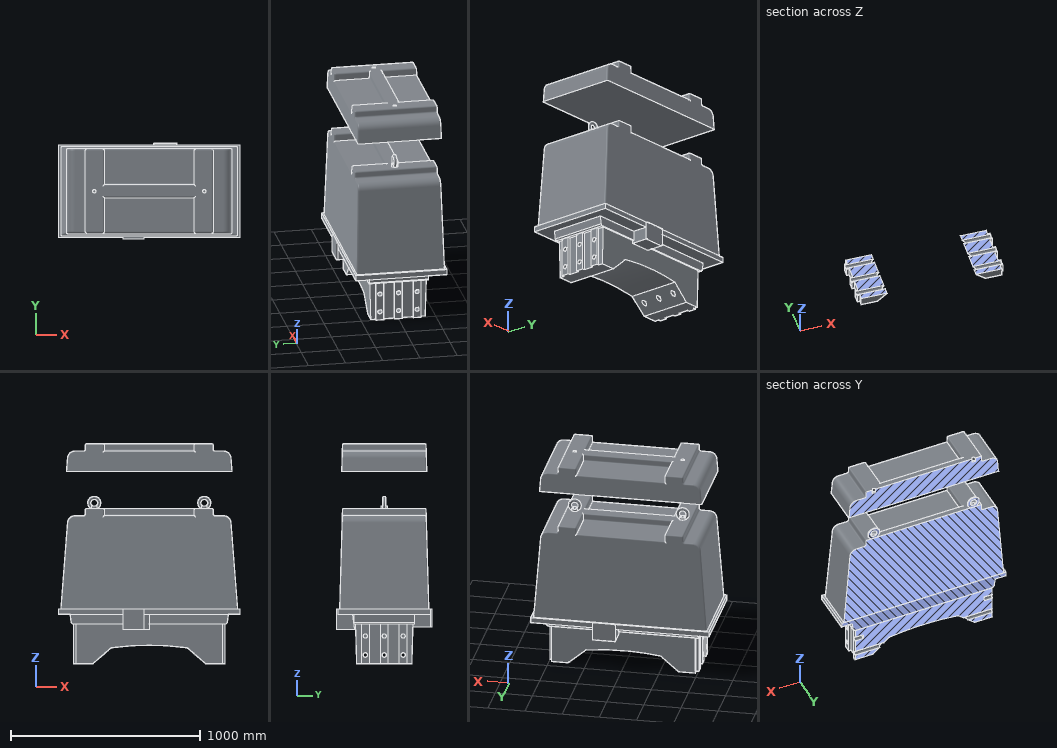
import cadquery as cq
import math

TOTAL_HEIGHT = 1162.0
PLINTH_BOTTOM = 209.0
FLANGE_BOTTOM = 260.0
FLANGE_TOP = 289.0
HOUSING_TOP = 820.0
LID_BOTTOM = 1015.0

SHOULDER_DROP = 38.0
FOOT_HALF_WIDTH = 467.0
FOOT_HALF_DEPTH = 236.0
END_DRAFT = 4.4
SIDE_DRAFT = 1.6
SHOULDER_RADIUS = 41.0
EDGE_RADIUS = 8.0
RAISED_HALF_WIDTH = 338.0
POCKET_HALF_WIDTH = 237.0
CENTER_RIB_HALF_DEPTH = 35.0

EYE_X = 290.0
EYE_HOLE = 35.0
EYE_WIRE = 17.0
EYE_COLLAR = 35.0
EYE_COLLAR_HEIGHT = 13.0
EYE_SINK = 1.0
LID_HOLE = 17.0
LID_HOLE_DEPTH = 23.0

TRAY_WIDTH = 960.0
TRAY_DEPTH = 490.0
FRONT_BRACKET_PROJECTION = 8.0
FRONT_BRACKET = (-140.0, -27.0, 180.0)
REAR_BRACKET = (23.0, 146.0, 193.0)
FAIRING_RIGHT = 1.0
FAIRING_OVERHANG = 8.0
PLATE_THICKNESS = 8.0
PLATE_EDGE_RADIUS = 0.99
PLINTH_HALF_DEPTH = 159.0
PLINTH_TOP_HALF_WIDTH = 418.0
PLINTH_DRAFT = 7.6
PLINTH_CHAMFER = 8.0

BASE_HALF_WIDTH = 387.0
BASE_TOP_HALF_DEPTH = 152.0
BASE_FOOT_HALF_DEPTH = 146.0
PAD_HEIGHT = 14.0
PAD_WIDTH = 42.0
PAD_SPACING = 100.0
PAD_HOLE = 22.0
PAD_HOLE_Z = 46.0
UPPER_HOLE_DEPTH = 46.0
ARCH_FOOT_HALF_WIDTH = 297.0
ARCH_HALF_WIDTH = 201.0
ARCH_SIDE_HEIGHT = 84.0
ARCH_CROWN_HEIGHT = 98.0

TOLERANCE = 0.1


def box(x0, x1, y0, y1, z0, z1):
    """Box given by its limits along each axis."""
    return cq.Workplane("XY").box(x1 - x0, y1 - y0, z1 - z0, centered=False).translate((x0, y0, z0))


def front_outline(points, half_depth):
    """Closed outline in the XZ plane, extruded both ways along Y."""
    return cq.Workplane("XZ").polyline(points).close().extrude(half_depth, both=True)


def end_outline(points, half_width):
    """Closed outline in the YZ plane, extruded both ways along X."""
    return cq.Workplane("YZ").polyline(points).close().extrude(half_width, both=True)


def tapered_shell(bottom):
    """Housing shape above the height `bottom`, with drafted walls, shoulders and two top pockets."""
    shoulder = HOUSING_TOP - SHOULDER_DROP
    end_slope = math.tan(math.radians(END_DRAFT))
    side_slope = math.tan(math.radians(SIDE_DRAFT))
    low_x = FOOT_HALF_WIDTH - (bottom - FLANGE_TOP) * end_slope
    high_x = FOOT_HALF_WIDTH - (shoulder - FLANGE_TOP) * end_slope
    low_y = FOOT_HALF_DEPTH - (bottom - FLANGE_TOP) * side_slope
    high_y = FOOT_HALF_DEPTH - (HOUSING_TOP - FLANGE_TOP) * side_slope

    half = [
        (low_x, bottom),
        (high_x, shoulder),
        (RAISED_HALF_WIDTH, shoulder),
        (RAISED_HALF_WIDTH, HOUSING_TOP),
    ]
    mirrored = [(-x, z) for x, z in reversed(half)]
    shell = front_outline(half + mirrored, low_y)
    for corner_x, radius in ((high_x, SHOULDER_RADIUS), (RAISED_HALF_WIDTH, EDGE_RADIUS)):
        for x in (-corner_x, corner_x):
            shell = shell.edges(cq.NearestToPointSelector((x, 0, shoulder))).fillet(radius)

    side_walls = [(-low_y, bottom), (low_y, bottom), (high_y, HOUSING_TOP), (-high_y, HOUSING_TOP)]
    shell = shell.intersect(end_outline(side_walls, low_x))

    for y0, y1 in ((-low_y, -CENTER_RIB_HALF_DEPTH), (CENTER_RIB_HALF_DEPTH, low_y)):
        pocket = box(-POCKET_HALF_WIDTH, POCKET_HALF_WIDTH, y0, y1, shoulder, HOUSING_TOP)
        shell = shell.cut(pocket)

    def is_rounded(edge):
        """True for an edge that gets the small radius."""
        center = edge.Center()
        on_top = center.z > HOUSING_TOP - TOLERANCE
        on_side_wall = abs(center.y) > high_y - TOLERANCE
        on_rib_foot = abs(center.x) < TOLERANCE and abs(abs(center.y) - CENTER_RIB_HALF_DEPTH) < TOLERANCE
        at_bottom = center.z < bottom + TOLERANCE
        return (on_top or on_side_wall or on_rib_foot) and not at_bottom

    rounded = [edge for edge in shell.edges().vals() if is_rounded(edge)]
    return shell.newObject(rounded).fillet(EDGE_RADIUS)


def make_lid():
    """Top slice of the shell, raised clear of the housing, with a blind hole above each lifting eye."""
    lift = TOTAL_HEIGHT - HOUSING_TOP
    lid = tapered_shell(LID_BOTTOM - lift).translate((0, 0, lift))
    for x in (-EYE_X, EYE_X):
        hole = cq.Workplane("XY", origin=(x, 0, TOTAL_HEIGHT)).circle(LID_HOLE / 2).extrude(-LID_HOLE_DEPTH)
        lid = lid.cut(hole)
    return lid


def make_lifting_eye(x):
    """Ring on a short collar, standing on the housing top."""
    collar = cq.Workplane("XY", origin=(x, 0, HOUSING_TOP)).circle(EYE_COLLAR / 2).extrude(EYE_COLLAR_HEIGHT)
    ring_radius = (EYE_HOLE + EYE_WIRE) / 2
    ring_z = HOUSING_TOP + EYE_COLLAR_HEIGHT + EYE_HOLE / 2 - EYE_SINK
    ring = cq.Workplane(cq.Solid.makeTorus(
        ring_radius, EYE_WIRE / 2, cq.Vector(x, 0, ring_z), cq.Vector(0, 1, 0)))
    reach = EYE_HOLE + EYE_WIRE
    above_housing = box(x - reach, x + reach, -reach, reach, HOUSING_TOP, ring_z + reach)
    return collar.union(ring.intersect(above_housing))


def make_plinth():
    """Block under the flange, with drafted ends and a chamfer along each lower end edge."""
    chamfer_top = PLINTH_BOTTOM + PLINTH_CHAMFER
    slope = math.tan(math.radians(PLINTH_DRAFT))
    low_half_width = PLINTH_TOP_HALF_WIDTH - (FLANGE_BOTTOM - chamfer_top) * slope
    half = [
        (PLINTH_TOP_HALF_WIDTH, FLANGE_BOTTOM),
        (low_half_width, chamfer_top),
        (low_half_width - PLINTH_CHAMFER, PLINTH_BOTTOM),
    ]
    return front_outline(half + [(-x, z) for x, z in reversed(half)], PLINTH_HALF_DEPTH)


def make_base():
    """Arched base with drafted sides and three drilled pads on each end."""
    base = end_outline([
        (-BASE_FOOT_HALF_DEPTH, 0),
        (BASE_FOOT_HALF_DEPTH, 0),
        (BASE_TOP_HALF_DEPTH, PLINTH_BOTTOM),
        (-BASE_TOP_HALF_DEPTH, PLINTH_BOTTOM),
    ], BASE_HALF_WIDTH)

    pad_face = BASE_HALF_WIDTH + PAD_HEIGHT
    for y in (-PAD_SPACING, 0, PAD_SPACING):
        pads = box(-pad_face, pad_face, y - PAD_WIDTH / 2, y + PAD_WIDTH / 2, 0, PLINTH_BOTTOM)
        base = base.union(pads)

    arch = (
        cq.Workplane("XZ")
        .moveTo(-ARCH_FOOT_HALF_WIDTH, 0)
        .lineTo(-ARCH_HALF_WIDTH, ARCH_SIDE_HEIGHT)
        .threePointArc((0, ARCH_CROWN_HEIGHT), (ARCH_HALF_WIDTH, ARCH_SIDE_HEIGHT))
        .lineTo(ARCH_FOOT_HALF_WIDTH, 0)
        .close()
        .extrude(BASE_TOP_HALF_DEPTH, both=True)
    )
    base = base.cut(arch)

    for y in (-PAD_SPACING, 0, PAD_SPACING):
        lower = cq.Workplane("YZ").center(y, PAD_HOLE_Z).circle(PAD_HOLE / 2).extrude(pad_face, both=True)
        base = base.cut(lower)
        for end in (-1, 1):
            upper = (
                cq.Workplane("YZ", origin=(end * pad_face, y, PAD_HOLE_Z + PAD_SPACING))
                .circle(PAD_HOLE / 2)
                .extrude(-end * UPPER_HOLE_DEPTH)
            )
            base = base.cut(upper)
    return base


def make_tray(base):
    """Flange under the housing, with a plinth below it and two brackets that reach in to the base."""
    half_depth = TRAY_DEPTH / 2
    slope = math.tan(math.radians(PLINTH_DRAFT))
    tray = box(-TRAY_WIDTH / 2, TRAY_WIDTH / 2, -half_depth, half_depth, FLANGE_BOTTOM, FLANGE_TOP)
    tray = tray.union(make_plinth())

    left, right, bottom = FRONT_BRACKET
    front = -half_depth - FRONT_BRACKET_PROJECTION
    tray = tray.union(box(left, right, front, -BASE_FOOT_HALF_DEPTH, bottom, FLANGE_TOP))

    fairing_top = -PLINTH_HALF_DEPTH - FAIRING_OVERHANG
    fairing_profile = [
        (-BASE_FOOT_HALF_DEPTH, bottom),
        (fairing_top + (FLANGE_BOTTOM - bottom) * slope, bottom),
        (fairing_top, FLANGE_BOTTOM),
        (-BASE_FOOT_HALF_DEPTH, FLANGE_BOTTOM),
    ]
    fairing = cq.Workplane("YZ", origin=(right, 0, 0)).polyline(fairing_profile).close()
    tray = tray.union(fairing.extrude(FAIRING_RIGHT - right))

    left, right, bottom = REAR_BRACKET
    tray = tray.union(box(left, right, BASE_FOOT_HALF_DEPTH, half_depth, bottom, FLANGE_TOP))
    return tray.cut(base)


def make_rear_plate():
    """Thin plate covering the rear bracket, with the edges of its outer face rounded."""
    left, right, bottom = REAR_BRACKET
    inner = TRAY_DEPTH / 2
    plate = box(left, right, inner, inner + PLATE_THICKNESS, bottom, FLANGE_TOP)
    return plate.faces(">Y").edges().fillet(PLATE_EDGE_RADIUS)


base = make_base()
tray = make_tray(base)
rear_plate = make_rear_plate()
housing = tapered_shell(FLANGE_TOP)
lifting_eyes = [make_lifting_eye(x) for x in (-EYE_X, EYE_X)]
lid = make_lid()

bodies = [base, tray, rear_plate, housing, *lifting_eyes, lid]
result = cq.Compound.makeCompound([body.solids().val() for body in bodies])